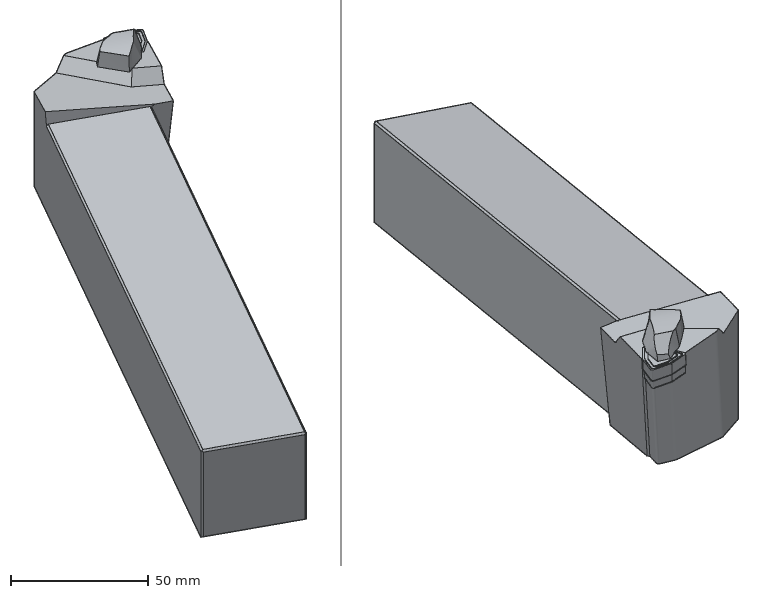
import cadquery as cq
import math

LENGTH = 250.0
SHANK = 40.0
SHANK_CHAMFER = 0.7
TIP_Y = 49.5
TIP_Z = 40.0
TILT = math.tan(math.radians(6))

INSERT_INRADIUS = 6.35
INSERT_THICKNESS = 4.7
NOSE_ANGLE = 80.0
NOSE_RADIUS = 0.7
RIM_LAND = 0.7
GROOVE_WIDTH = 1.2
GROOVE_DEPTH = 0.37

SHIM_THICKNESS = 3.2
SHIM_INSET = 0.2

HEAD_DROP = 5.0
HEAD_END_X = 45.5
HEAD_END_RUN = 1.5
FACET_X = 29.2
NOSE_CLEARANCE = 0.62
SIDE_FACE = 0.5
CORNER_RADIUS = 4.5
HOLDER_NOSE_RADIUS = 1.0
PLATFORM_X = 31.7
PLATFORM_CORNER_Y = 36.5
PLATFORM_ANGLE = 60.0
SLOPE_ANGLE = 44.0

CLAMP_TOP = 51.0
CLAMP_HEIGHT = 8.0
CLAMP_START_X = 1.2
CLAMP_BEND = (10.5, 49.0)
CLAMP_PEAK_X = 23.7
CLAMP_FOOT = [
    (4.0, 39.7), (4.5, 44.7), (12.7, 45.5), (20.2, 43.2), (29.5, 36.0),
    (24.0, 25.5), (21.0, 26.0), (14.7, 30.0), (10.0, 33.2),
]
CLAMP_CROWN = [
    (7.5, 42.2), (6.7, 44.0), (12.7, 41.5), (21.0, 39.2), (28.7, 35.5),
    (23.5, 26.2), (21.5, 27.0), (17.7, 28.7), (13.0, 33.2),
]
OVERSIZE = 100.0
TOLERANCE = 0.0002

rake = cq.Plane(origin=(0, TIP_Y, TIP_Z), xDir=(1, 0, TILT), normal=(-TILT, TILT, 1))


def on_rake(height=0.0):
    """Workplane parallel to the insert's top face, raised by height."""
    return cq.Workplane(rake).workplane(offset=height)


def trigon(inset=0.0):
    """Corner points of the insert outline, from its nose on, moved inward by inset.

    Noses and blunt corners alternate every 60 degrees around the insert's middle,
    which lies on the 45 degree line from the nose.
    """
    half_nose = math.radians(NOSE_ANGLE / 2)
    half_blunt = math.radians((240 - NOSE_ANGLE) / 2)
    nose_to_middle = (INSERT_INRADIUS - NOSE_RADIUS) / math.sin(half_nose)
    middle = NOSE_RADIUS + nose_to_middle * math.cos(math.radians(45))
    inradius = INSERT_INRADIUS - inset
    reaches = (inradius / math.sin(half_nose), inradius / math.sin(half_blunt))
    points = []
    for i in range(6):
        reach = reaches[i % 2]
        angle = math.radians(135 + 60 * i)
        points.append((middle + reach * math.cos(angle), -middle + reach * math.sin(angle)))
    return points


def round_edges(solid, points, radius):
    """Round the edges, square to the rake plane, that pass through plan points of its frame."""
    edges = []
    for x, y in points:
        axis = cq.Edge.makeLine(rake.toWorldCoords((x, y, -OVERSIZE)), rake.toWorldCoords((x, y, OVERSIZE)))
        edges += [e for e in solid.edges().vals() if on_axis(e, axis)]
    return solid.newObject(edges).fillet(radius)


def on_axis(edge, axis):
    """True for an edge whose ends both lie on the axis."""
    ends = (edge.startPoint(), edge.endPoint())
    return all(axis.distance(cq.Vertex.makeVertex(*end.toTuple())) < TOLERANCE for end in ends)


def trigon_plate(top, thickness, inset=0.0):
    """Trigon plate with rounded noses, its top at the given height over the rake plane."""
    corners = trigon(inset)
    plate = on_rake(top).polyline(corners).close().extrude(-thickness)
    return round_edges(plate, corners[::2], NOSE_RADIUS)


def make_insert():
    groove = trigon_plate(0, GROOVE_DEPTH, RIM_LAND)
    groove = groove.cut(trigon_plate(0, GROOVE_DEPTH, RIM_LAND + GROOVE_WIDTH))
    return trigon_plate(0, INSERT_THICKNESS).cut(groove)


def make_shank():
    start = HEAD_END_X - HEAD_END_RUN
    shank = cq.Workplane("XY").box(LENGTH - start, SHANK, SHANK, centered=False).translate((start, 0, 0))
    return shank.faces(">X").edges().chamfer(SHANK_CHAMFER).edges("|X and >Z").chamfer(SHANK_CHAMFER)


def head_column():
    """The head's outline, its nose sides square to the rake plane, without a top."""
    nose, flank, tail, _, _, side_start = trigon(NOSE_CLEARANCE)
    diagonal = (tail[0] - flank[0], tail[1] - flank[1])
    stretch = OVERSIZE / math.hypot(*diagonal)
    far = (flank[0] + stretch * diagonal[0], flank[1] + stretch * diagonal[1])
    outline = [
        nose, flank, far, (OVERSIZE, far[1]), (OVERSIZE, -SIDE_FACE),
        (side_start[0] + NOSE_CLEARANCE, -SIDE_FACE), side_start,
    ]
    column = on_rake(-OVERSIZE).polyline(outline).close().extrude(2 * OVERSIZE)
    plan = [
        (FACET_X, 0), (HEAD_END_X, 0), (HEAD_END_X, SHANK),
        (HEAD_END_X - HEAD_END_RUN, TIP_Y), (HEAD_END_X - HEAD_END_RUN, OVERSIZE),
        (FACET_X - OVERSIZE, OVERSIZE),
    ]
    column = round_edges(column, [nose], HOLDER_NOSE_RADIUS)
    column = round_edges(column, [flank], CORNER_RADIUS)
    column = column.intersect(cq.Workplane("XY").polyline(plan).close().extrude(OVERSIZE))
    return round_edges(column, [facet_corner(flank, diagonal)], CORNER_RADIUS)


def facet_corner(flank, diagonal):
    """Point of the rake plane where the diagonal side meets the 45 degree facet."""
    start = rake.toWorldCoords(flank)
    end = rake.toWorldCoords((flank[0] + diagonal[0], flank[1] + diagonal[1]))
    share = (FACET_X - start.x - start.y) / (end.x + end.y - start.x - start.y)
    point = rake.toLocalCoords(start + (end - start) * share)
    return point.x, point.y


def make_head():
    column = head_column()
    below_top = on_rake(-HEAD_DROP).rect(2 * OVERSIZE, 2 * OVERSIZE).extrude(-OVERSIZE)
    lean = [
        (HEAD_END_X, SHANK), (HEAD_END_X, OVERSIZE),
        (HEAD_END_X - HEAD_END_RUN, OVERSIZE), (HEAD_END_X - HEAD_END_RUN, SHANK + HEAD_DROP),
    ]
    end_cut = cq.Workplane("XZ").polyline(lean).close().extrude(-OVERSIZE)
    low = column.intersect(below_top).cut(end_cut)
    return low.union(make_platform().intersect(column))


def sloped_block(direction):
    """Block on the head top, its edge sloping down towards the given direction in the rake plane."""
    heading = rake.rotated((0, 0, direction))
    heading.origin = rake.toWorldCoords((PLATFORM_X, PLATFORM_CORNER_Y - TIP_Y, -HEAD_DROP))
    run = HEAD_DROP * math.tan(math.radians(SLOPE_ANGLE))
    profile = [(0, 0), (-run, HEAD_DROP), (-OVERSIZE, HEAD_DROP), (-OVERSIZE, 0)]
    side_view = cq.Plane(origin=heading.origin, xDir=heading.xDir, normal=-heading.yDir)
    return cq.Workplane(side_view).polyline(profile).close().extrude(OVERSIZE, both=True)


def make_platform():
    """Raised plane level with the insert's top, sloping down to the head on two sides."""
    return sloped_block(0).intersect(sloped_block(PLATFORM_ANGLE - 90))


def to_rake(points):
    """Plan points measured from the shank's -Y side, as points in the rake frame."""
    return [(x, y - TIP_Y) for x, y in points]


def make_clamp():
    """Wedge-shaped clamp: a tapering foot under a top that slopes down to the nose."""
    foot = on_rake().polyline(to_rake(CLAMP_FOOT)).close()
    block = foot.workplane(offset=CLAMP_HEIGHT).polyline(to_rake(CLAMP_CROWN)).close().loft(ruled=True)

    arch_end = (2 * CLAMP_PEAK_X - CLAMP_BEND[0], CLAMP_BEND[1])
    below_top = (
        cq.Workplane("XZ")
        .moveTo(CLAMP_START_X, 0)
        .lineTo(CLAMP_START_X, TIP_Z)
        .lineTo(*CLAMP_BEND)
        .threePointArc((CLAMP_PEAK_X, CLAMP_TOP), arch_end)
        .lineTo(arch_end[0], 0)
        .close()
        .extrude(-OVERSIZE)
    )
    return block.intersect(below_top)


def make_holder():
    holder = make_shank().union(make_head()).union(make_clamp())
    holder = holder.union(trigon_plate(-INSERT_THICKNESS, SHIM_THICKNESS, SHIM_INSET))
    return holder.cut(trigon_plate(0, INSERT_THICKNESS))


insert = make_insert()
holder = make_holder()
result = cq.Compound.makeCompound([holder.val(), insert.val()])